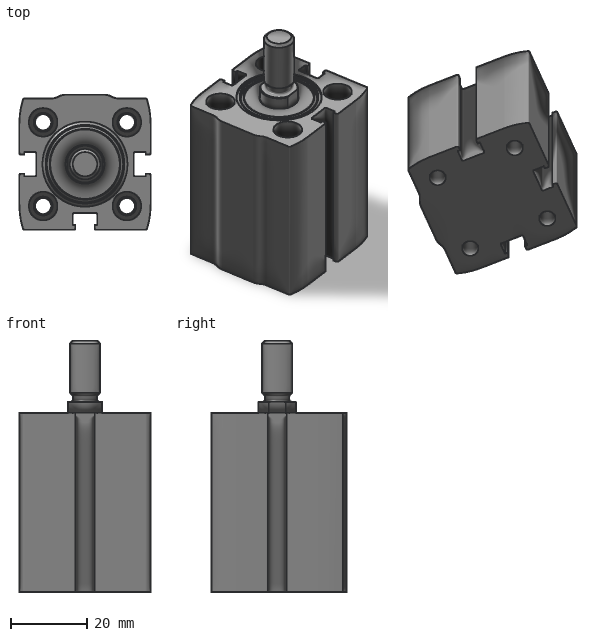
import cadquery as cq
import math

TOTAL_HEIGHT = 66.0
HOUSING_HEIGHT = 47.0
HOUSING_WIDTH = 34.5
HALF_WIDTH = HOUSING_WIDTH / 2

BACK_BUMP_RISE = 1.0
BUMP_FLAT_HALF = 5.1
BUMP_FOOT_HALF = 8.9
SIDE_FLAT_HALF = 10.75
CORNER_INSET = 1.05
CORNER_FILLET = 0.5

SLOT_NECK_WIDTH = 5.0
SLOT_WIDTH = 6.35
SLOT_LIP = 1.3
SLOT_DEPTH = 4.4
SLOT_LIP_FILLET = 0.4
SLOT_FLOOR_FILLET = 0.3

HOLE_PITCH = 22.0
HOLE_DIAMETER = 4.2
COUNTERSINK_DIAMETER = 5.0
COUNTERBORE_DIAMETER = 7.5
COUNTERBORE_DEPTH = 7.0

BORE_RADIUS = 22.4 / 2
LEDGE_OUTER_RADIUS = 10.35
LEDGE_INNER_RADIUS = 10.15
LEDGE_DEPTH = 0.2
LEDGE_SLOPE = 30.0
GROOVE_RADIUS = 20.0 / 2
RIM_OUTER_RADIUS = 9.3
RIM_OUTER_SLOPE = 40.0
RIM_INNER_RADIUS = 9.1
RIM_DEPTH = 0.2
CAP_RECESS = 0.4
CAP_Z = HOUSING_HEIGHT - CAP_RECESS

ROD_RADIUS = 10.0 / 2
ROD_INSERTION = 7.0
ROD_BOTTOM_Z = HOUSING_HEIGHT - ROD_INSERTION
SOCKET_CHAMFER = 0.1
COLLAR_HEIGHT = 3.0
COLLAR_CHAMFER = 0.2
FLAT_LENGTH = 5.0
ACROSS_FLATS = 9.0
THREAD_RADIUS = 8.0 / 2
THREAD_LENGTH = 13.65
NECK_RADIUS = 6.4 / 2
NECK_FILLET = 0.6


def bow_midpoint(sign_x, sign_y):
    """Middle of the arc that leaves a side tangentially and ends at a corner, placed by the signs."""
    length = HALF_WIDTH - SIDE_FLAT_HALF
    radius = (length**2 + CORNER_INSET**2) / (2 * CORNER_INSET)
    half_angle = math.asin(length / radius) / 2
    x = HALF_WIDTH - radius * (1 - math.cos(half_angle))
    y = SIDE_FLAT_HALF + radius * math.sin(half_angle)
    return (sign_x * x, sign_y * y)


def housing_block():
    """Square block whose sides bow in towards rounded corners, with a raised back face."""
    corner_x = HALF_WIDTH - CORNER_INSET
    back_y = HALF_WIDTH + BACK_BUMP_RISE
    s_mid_x = (BUMP_FLAT_HALF + BUMP_FOOT_HALF) / 2
    s_mid_y = (HALF_WIDTH + back_y) / 2
    block = (
        cq.Workplane("XY")
        .moveTo(HALF_WIDTH, -SIDE_FLAT_HALF)
        .lineTo(HALF_WIDTH, SIDE_FLAT_HALF)
        .threePointArc(bow_midpoint(1, 1), (corner_x, HALF_WIDTH))
        .lineTo(BUMP_FOOT_HALF, HALF_WIDTH)
        .tangentArcPoint((s_mid_x, s_mid_y), relative=False)
        .tangentArcPoint((BUMP_FLAT_HALF, back_y), relative=False)
        .lineTo(-BUMP_FLAT_HALF, back_y)
        .tangentArcPoint((-s_mid_x, s_mid_y), relative=False)
        .tangentArcPoint((-BUMP_FOOT_HALF, HALF_WIDTH), relative=False)
        .lineTo(-corner_x, HALF_WIDTH)
        .threePointArc(bow_midpoint(-1, 1), (-HALF_WIDTH, SIDE_FLAT_HALF))
        .lineTo(-HALF_WIDTH, -SIDE_FLAT_HALF)
        .threePointArc(bow_midpoint(-1, -1), (-corner_x, -HALF_WIDTH))
        .lineTo(corner_x, -HALF_WIDTH)
        .threePointArc(bow_midpoint(1, -1), (HALF_WIDTH, -SIDE_FLAT_HALF))
        .close()
        .extrude(HOUSING_HEIGHT)
    )
    mid_height = HOUSING_HEIGHT / 2
    for x in (-corner_x, corner_x):
        for y in (-HALF_WIDTH, HALF_WIDTH):
            corner_edge = cq.selectors.NearestToPointSelector((x, y, mid_height))
            block = block.edges("|Z").edges(corner_edge).fillet(CORNER_FILLET)
    return block


def t_slot(angle):
    """T-slot cutter for the -Y face, turned about Z by the angle."""
    lip_y = -HALF_WIDTH + SLOT_LIP
    floor_y = -HALF_WIDTH + SLOT_DEPTH
    pocket = (
        cq.Workplane("XY")
        .center(0, (lip_y + floor_y) / 2)
        .rect(SLOT_WIDTH, floor_y - lip_y)
        .extrude(HOUSING_HEIGHT)
        .edges("|Z and >Y")
        .fillet(SLOT_FLOOR_FILLET)
    )
    half_neck = SLOT_NECK_WIDTH / 2
    r = SLOT_LIP_FILLET
    face_y = -HALF_WIDTH
    arc_x = r * (1 - math.sqrt(0.5))
    neck = (
        cq.Workplane("XY")
        .moveTo(-half_neck, lip_y)
        .lineTo(-half_neck, face_y + r)
        .threePointArc((-half_neck - arc_x, face_y + arc_x), (-half_neck - r, face_y))
        .lineTo(half_neck + r, face_y)
        .threePointArc((half_neck + arc_x, face_y + arc_x), (half_neck, face_y + r))
        .lineTo(half_neck, lip_y)
        .close()
        .extrude(HOUSING_HEIGHT)
    )
    return pocket.union(neck).rotate((0, 0, 0), (0, 0, 1), angle)


def mounting_holes():
    """Stepped through holes, countersunk at the counterbore floor."""
    hole_r = HOLE_DIAMETER / 2
    sink_r = COUNTERSINK_DIAMETER / 2
    bore_r = COUNTERBORE_DIAMETER / 2
    floor_z = HOUSING_HEIGHT - COUNTERBORE_DEPTH
    profile = [
        (0, 0),
        (hole_r, 0),
        (hole_r, floor_z - (sink_r - hole_r)),
        (sink_r, floor_z),
        (bore_r, floor_z),
        (bore_r, HOUSING_HEIGHT),
        (0, HOUSING_HEIGHT),
    ]
    hole = cq.Workplane("XZ").polyline(profile).close().revolve(360, (0, 0), (0, 1)).val()
    places = cq.Workplane("XY").rect(HOLE_PITCH, HOLE_PITCH, forConstruction=True).vertices()
    return places.eachpoint(lambda place: hole.moved(place), combine=False)


def slope_height(width, slope):
    """Height of a slope in degrees across a width."""
    return width * math.tan(math.radians(slope))


def cap_recess():
    """Shallow disc inside the rim of the end cap."""
    return cq.Workplane("XY", origin=(0, 0, CAP_Z)).circle(RIM_INNER_RADIUS).extrude(CAP_RECESS)


def cap_groove():
    """Groove outside the rim, with a narrow ledge that slopes down to the housing bore."""
    rim_z = HOUSING_HEIGHT - RIM_DEPTH
    groove_z = rim_z - slope_height(GROOVE_RADIUS - RIM_OUTER_RADIUS, RIM_OUTER_SLOPE)
    ledge_z = HOUSING_HEIGHT - LEDGE_DEPTH
    bore_z = ledge_z - slope_height(BORE_RADIUS - LEDGE_OUTER_RADIUS, LEDGE_SLOPE)
    profile = [
        (RIM_INNER_RADIUS, HOUSING_HEIGHT),
        (RIM_INNER_RADIUS, rim_z),
        (RIM_OUTER_RADIUS, rim_z),
        (GROOVE_RADIUS, groove_z),
        (LEDGE_INNER_RADIUS, ledge_z),
        (LEDGE_OUTER_RADIUS, ledge_z),
        (BORE_RADIUS, bore_z),
        (BORE_RADIUS, HOUSING_HEIGHT),
    ]
    return cq.Workplane("XZ").polyline(profile).close().revolve(360, (0, 0), (0, 1))


def rod_socket():
    """Blind hole that the rod fills, chamfered at the face of the end cap."""
    profile = [
        (0, ROD_BOTTOM_Z),
        (ROD_RADIUS, ROD_BOTTOM_Z),
        (ROD_RADIUS, CAP_Z - SOCKET_CHAMFER),
        (ROD_RADIUS + SOCKET_CHAMFER, CAP_Z),
        (0, CAP_Z),
    ]
    return cq.Workplane("XZ").polyline(profile).close().revolve(360, (0, 0), (0, 1))


def make_housing():
    housing = housing_block()
    for angle in (-90, 0, 90):
        housing = housing.cut(t_slot(angle))
    housing = housing.cut(mounting_holes())
    return housing.cut(cap_recess()).cut(cap_groove()).cut(rod_socket())


def make_rod():
    """Turned rod with a threaded end, a relief neck and a collar with two flats."""
    collar_z = HOUSING_HEIGHT + COLLAR_HEIGHT
    thread_z = TOTAL_HEIGHT - THREAD_LENGTH
    tip_chamfer = THREAD_RADIUS - NECK_RADIUS
    diagonal = NECK_FILLET * math.sqrt(0.5)
    cone_radius = NECK_RADIUS + NECK_FILLET - diagonal
    cone_z = thread_z - (THREAD_RADIUS - cone_radius)
    upper_mid_x = NECK_RADIUS + NECK_FILLET * (1 - math.cos(math.pi / 8))
    upper_mid_z = cone_z - diagonal + NECK_FILLET * math.sin(math.pi / 8)
    rod = (
        cq.Workplane("XZ")
        .moveTo(0, ROD_BOTTOM_Z)
        .lineTo(ROD_RADIUS, ROD_BOTTOM_Z)
        .lineTo(ROD_RADIUS, collar_z - COLLAR_CHAMFER)
        .lineTo(ROD_RADIUS - COLLAR_CHAMFER, collar_z)
        .lineTo(NECK_RADIUS + NECK_FILLET, collar_z)
        .threePointArc(
            (NECK_RADIUS + NECK_FILLET - diagonal, collar_z + NECK_FILLET - diagonal),
            (NECK_RADIUS, collar_z + NECK_FILLET),
        )
        .lineTo(NECK_RADIUS, cone_z - diagonal)
        .threePointArc((upper_mid_x, upper_mid_z), (cone_radius, cone_z))
        .lineTo(THREAD_RADIUS, thread_z)
        .lineTo(THREAD_RADIUS, TOTAL_HEIGHT - tip_chamfer)
        .lineTo(NECK_RADIUS, TOTAL_HEIGHT)
        .lineTo(0, TOTAL_HEIGHT)
        .close()
        .revolve(360, (0, 0), (0, 1))
    )
    flat_offset = ACROSS_FLATS / 2 + ROD_RADIUS / 2
    flats = (
        cq.Workplane("XY", origin=(0, 0, collar_z - FLAT_LENGTH))
        .pushPoints([(-flat_offset, 0), (flat_offset, 0)])
        .rect(ROD_RADIUS, 2 * ROD_RADIUS)
        .extrude(FLAT_LENGTH)
    )
    return rod.cut(flats)


housing = make_housing()
rod = make_rod()

result = cq.Compound.makeCompound([housing.val(), rod.val()])